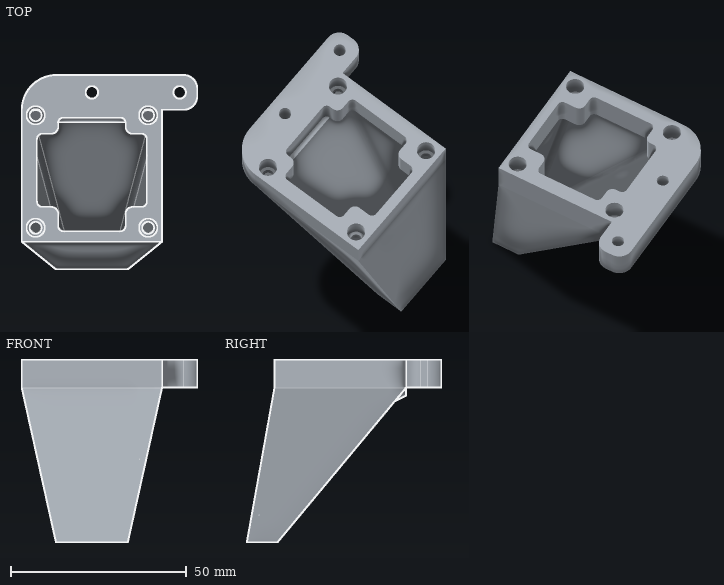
import cadquery as cq
import math

plate_thickness = 8.0
plate_half_width = 20.0
plate_front_y = -20.0
plate_back_y = 27.55
plate_corner_radius = 10.0

arm_end_x = 30.0
arm_width = 10.0
arm_front_y = plate_back_y - arm_width
arm_corner_radius = 4.0
arm_hole_diameter = 3.5
arm_hole_spacing = 25.0
arm_hole_y = plate_back_y - arm_width / 2

screw_pitch = 32.0
screw_hole_diameter = 3.4
screw_head_diameter = 5.2
screw_head_depth = 6.0

opening_half_width = 15.6
opening_shoulder_front_y = -10.1
opening_shoulder_back_y = 10.75
opening_neck_half_width = 9.6
opening_front_y = -17.0
opening_back_y = 15.35
opening_outer_radius = 1.5
opening_inner_radius = 2.0

total_height = 52.0
outlet_half_width = 10.25
outlet_front_y = -27.85
outlet_back_y = -19.1
wall = 2.0
cavity_corner_radius = 1.8
cavity_back_y = 13.95

boss_depth = 2.25
boss_end_angle = 26

duct_height = total_height - plate_thickness
screw_offset = screw_pitch / 2


def prism(points, height):
    """Straight downward prism from the top face."""
    return cq.Workplane("XY").polyline(points).close().extrude(-height)


def rectangle(half_width, front_y, back_y):
    """Corner points of a rectangle centred on X = 0."""
    return [(-half_width, front_y), (half_width, front_y), (half_width, back_y), (-half_width, back_y)]


def taper(inlet, outlet):
    """Ruled frustum between the plate underside and the outlet."""
    return (
        cq.Workplane("XY", origin=(0, 0, -plate_thickness))
        .polyline(inlet).close()
        .workplane(offset=-duct_height)
        .polyline(outlet).close()
        .loft(ruled=True, combine=True)
    )


def make_plate():
    plate = prism(
        [
            (-plate_half_width, plate_front_y),
            (plate_half_width, plate_front_y),
            (plate_half_width, arm_front_y),
            (arm_end_x, arm_front_y),
            (arm_end_x, plate_back_y),
            (-plate_half_width, plate_back_y),
        ],
        plate_thickness,
    )
    plate = plate.edges("|Z").edges(">X").fillet(arm_corner_radius)
    return plate.edges("|Z").edges("<X").edges(">Y").fillet(plate_corner_radius)


def make_opening():
    half_width = opening_half_width
    neck = opening_neck_half_width
    depth = plate_thickness
    wide = prism(rectangle(half_width, opening_shoulder_front_y, opening_shoulder_back_y), depth)
    long = prism(rectangle(neck, opening_front_y, opening_back_y), depth)
    cross = wide.union(long)
    margin = 0.55
    inner_corners = cq.selectors.BoxSelector(
        (-neck - margin, opening_shoulder_front_y - margin, -depth),
        (neck + margin, opening_shoulder_back_y + margin, 0),
    )
    vertical = cq.selectors.ParallelDirSelector(cq.Vector(0, 0, 1))
    cross = cross.edges(vertical - inner_corners).fillet(opening_outer_radius)
    return cross.edges(vertical & inner_corners).fillet(opening_inner_radius)


def make_duct():
    inlet = rectangle(plate_half_width, plate_front_y, arm_front_y)
    outlet = rectangle(outlet_half_width, outlet_front_y, outlet_back_y)
    return taper(inlet, outlet)


def make_cavity():
    """Inside of the duct, one wall thickness in from each sloping side."""

    def level_wall(run):
        return wall * math.hypot(duct_height, run) / duct_height

    side_wall = level_wall(plate_half_width - outlet_half_width)
    front_wall = level_wall(plate_front_y - outlet_front_y)
    back_wall = level_wall(arm_front_y - outlet_back_y)
    inlet = rectangle(plate_half_width - side_wall, plate_front_y + front_wall, arm_front_y - back_wall)
    outlet = rectangle(outlet_half_width - side_wall, outlet_front_y + front_wall, outlet_back_y - back_wall)
    cavity = taper(inlet, outlet)
    cavity = cavity.edges("not(#Z)").fillet(cavity_corner_radius)
    limit = prism(rectangle(plate_half_width, outlet_front_y, cavity_back_y), total_height)
    return cavity.intersect(limit)


def make_boss(x):
    """Upright pin with a slanted end, its back flush with the duct's back edge."""
    radius = arm_front_y - screw_offset
    drop = 2 * radius * math.tan(math.radians(boss_end_angle))
    top = -plate_thickness
    end = top - boss_depth
    pin = cq.Workplane("XY", origin=(x, screw_offset, top)).circle(radius).extrude(-boss_depth - drop)
    front_y = screw_offset - radius
    profile = [(arm_front_y, top), (arm_front_y, end), (front_y, end - drop), (front_y, top)]
    slant = (
        cq.Workplane("YZ", origin=(x, 0, 0))
        .polyline(profile).close()
        .extrude(radius, both=True)
    )
    return pin.intersect(slant)


body = make_plate().union(make_duct())
body = body.cut(make_cavity()).cut(make_opening())
for boss_x in (-screw_offset, screw_offset):
    body = body.union(make_boss(boss_x))

screws = cq.Workplane("XY").rect(screw_pitch, screw_pitch, forConstruction=True).vertices()
body = body.cut(screws.circle(screw_hole_diameter / 2).extrude(-plate_thickness))
body = body.cut(screws.circle(screw_head_diameter / 2).extrude(-screw_head_depth))

arm_holes = cq.Workplane("XY").pushPoints([(0, arm_hole_y), (arm_hole_spacing, arm_hole_y)])
result = body.cut(arm_holes.circle(arm_hole_diameter / 2).extrude(-plate_thickness))